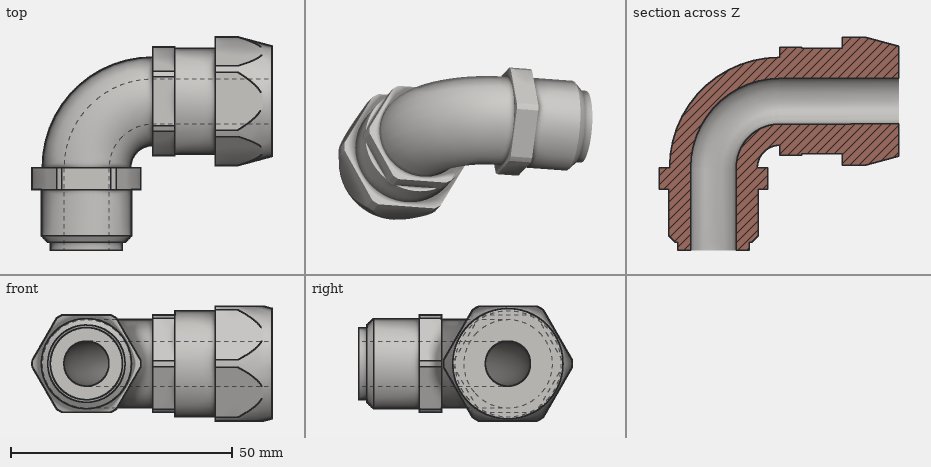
import cadquery as cq
import math


bend_angle = 90.0
elbow_diameter = 20.0
bend_radius = 15.0
bore_diameter = 10.2

hexagon_sides = 6
corner_ratio = 1.12
collar_flats = 22.0
collar_length = 5.0
collar_end = bend_radius + collar_length

spigot_diameter = 20.4
spigot_chamfer_start = 30.4
spigot_chamfer_end = 31.9
spigot_chamfer_diameter = 17.5
nose_diameter = 16.3
inlet_end = 33.74

body_diameter = 24.0
nut_flats = 26.0
nut_start = 29.1
nut_taper_start = 34.2
nut_taper_angle = 15.0
outlet_end = 41.98

inlet_plane = cq.Plane(origin=(0, 0, 0), xDir=(1, 0, 0), normal=(0, -1, 0))
outlet_plane = cq.Plane(origin=(0, 0, 0), xDir=(0, 1, 0), normal=(1, 0, 0))


def cylinder(plane, diameter, start, end):
    return cq.Workplane(plane).workplane(offset=start).circle(diameter / 2).extrude(end - start)


def turned_hexagon(plane, flats, start, end):
    """Hexagonal prism with its six corners turned to a cylinder."""
    sharp_corners = flats / math.cos(math.pi / hexagon_sides)
    outline = cq.Workplane(plane).workplane(offset=start).polygon(hexagon_sides, sharp_corners)
    return outline.extrude(end - start).intersect(cylinder(plane, flats * corner_ratio, start, end))


def cone(plane, start_diameter, end_diameter, start, end):
    base = cq.Workplane(plane).workplane(offset=start).circle(start_diameter / 2)
    return base.workplane(offset=end - start).circle(end_diameter / 2).loft(ruled=True)


def bend(diameter):
    """Quarter-torus bar joining the two legs."""
    section = cq.Workplane("XZ", origin=(0, -bend_radius, 0)).circle(diameter / 2)
    return section.revolve(bend_angle, (bend_radius, 0, 0), (bend_radius, -1, 0))


def inlet_leg():
    collar = turned_hexagon(inlet_plane, collar_flats, bend_radius, collar_end)
    spigot = cylinder(inlet_plane, spigot_diameter, collar_end, spigot_chamfer_start)
    chamfer = cone(
        inlet_plane, spigot_diameter, spigot_chamfer_diameter, spigot_chamfer_start, spigot_chamfer_end
    )
    nose = cylinder(inlet_plane, nose_diameter, spigot_chamfer_end, inlet_end)
    return collar.union(spigot).union(chamfer).union(nose)


def clamping_nut():
    """Hexagonal nut tapered by a cone towards the outlet end."""
    corner_diameter = nut_flats * corner_ratio
    taper_length = outlet_end - nut_taper_start
    end_diameter = corner_diameter - 2 * taper_length * math.tan(math.radians(nut_taper_angle))
    hexagon = turned_hexagon(outlet_plane, nut_flats, nut_start, outlet_end)
    straight = cylinder(outlet_plane, corner_diameter, nut_start, nut_taper_start)
    taper = cone(outlet_plane, corner_diameter, end_diameter, nut_taper_start, outlet_end)
    return hexagon.intersect(straight.union(taper))


def outlet_leg():
    collar = turned_hexagon(outlet_plane, collar_flats, bend_radius, collar_end)
    body = cylinder(outlet_plane, body_diameter, collar_end, nut_start)
    return collar.union(body).union(clamping_nut())


def passage():
    inlet_bore = cylinder(inlet_plane, bore_diameter, bend_radius, inlet_end)
    outlet_bore = cylinder(outlet_plane, bore_diameter, bend_radius, outlet_end)
    return bend(bore_diameter).union(inlet_bore).union(outlet_bore)


result = bend(elbow_diameter).union(inlet_leg()).union(outlet_leg()).cut(passage())